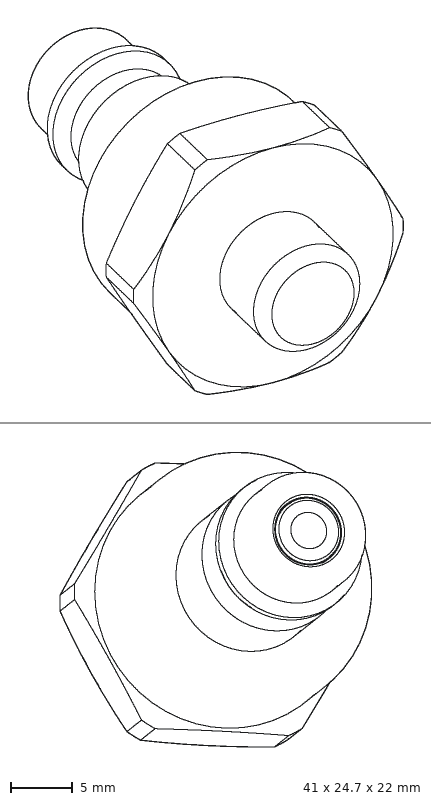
import cadquery as cq
import math


length = 41.0
rib_start_x = 5.0
rib_land_start_x = 6.0
rib_land_end_x = 7.0
neck_start_x = 8.0
neck_end_x = 10.4
barrel_start_x = 11.5
flange_start_x = 20.0
hex_start_x = 28.0
hex_end_x = 34.0

nose_diameter = 10.0
plug_diameter = 12.0
neck_diameter = 9.75
flange_diameter = 21.5
stub_diameter = 9.73

nose_fillet = 1.0
flange_fillet = 1.0
flange_face_tilt = 7.5
stub_chamfer = 1.1

hex_sides = 6
across_flats = 22.0
hex_corner_diameter = 24.68
hex_front_bevel = 15.0
hex_back_bevel = 30.0

bore_diameter = 5.6
bore_chamfer = 0.2
poppet_diameter = 5.45
poppet_face_diameter = 5.0
gap_depth = 1.0
dimple_diameter = 3.0
dimple_tip_angle = 120.0


def revolve_about_x(profile):
    """Revolve a closed (x, radius) profile a full turn about the X axis."""
    return profile.close().revolve(360, (0, 0, 0), (1, 0, 0))


def slope_rise(run, angle):
    """Rise of a straight slope of the given angle in degrees over a run."""
    return run * math.tan(math.radians(angle))


def make_turned_body():
    nose_r = nose_diameter / 2
    plug_r = plug_diameter / 2
    neck_r = neck_diameter / 2
    flange_r = flange_diameter / 2
    stub_r = stub_diameter / 2

    tilt = math.radians(flange_face_tilt)
    half_sweep = (math.pi / 2 - tilt) / 2
    fillet_center_r = flange_r - flange_fillet
    tangent_r = fillet_center_r + flange_fillet * math.sin(tilt)
    tangent_x = flange_start_x + (tangent_r - plug_r) * math.tan(tilt)
    fillet_center_x = tangent_x + flange_fillet * math.cos(tilt)
    fillet_middle = (
        fillet_center_x - flange_fillet * math.cos(tilt + half_sweep),
        fillet_center_r + flange_fillet * math.sin(tilt + half_sweep),
    )

    nose_inset = nose_fillet * (1 - math.sqrt(0.5))

    profile = (
        cq.Workplane("XY")
        .moveTo(0, 0)
        .lineTo(0, nose_r - nose_fillet)
        .threePointArc((nose_inset, nose_r - nose_inset), (nose_fillet, nose_r))
        .lineTo(rib_start_x, nose_r)
        .lineTo(rib_land_start_x, plug_r)
        .lineTo(rib_land_end_x, plug_r)
        .lineTo(neck_start_x, neck_r)
        .lineTo(neck_end_x, neck_r)
        .lineTo(barrel_start_x, plug_r)
        .lineTo(flange_start_x, plug_r)
        .lineTo(tangent_x, tangent_r)
        .threePointArc(fillet_middle, (fillet_center_x, flange_r))
        .lineTo(hex_start_x, flange_r)
        .lineTo(hex_start_x, stub_r)
        .lineTo(length - stub_chamfer, stub_r)
        .lineTo(length, stub_r - stub_chamfer)
        .lineTo(length, 0)
    )
    return revolve_about_x(profile)


def make_hexagon():
    """Hexagon with flats facing +Z and -Z, its corners turned down and bevelled."""
    corner_r = hex_corner_diameter / 2
    front_face_r = flange_diameter / 2
    back_face_r = across_flats / 2
    across_corners = across_flats / math.cos(math.pi / hex_sides)
    front_bevel_length = slope_rise(corner_r - front_face_r, hex_front_bevel)
    back_bevel_length = slope_rise(corner_r - back_face_r, hex_back_bevel)

    prism = (
        cq.Workplane("YZ", origin=(hex_start_x, 0, 0))
        .polygon(hex_sides, across_corners)
        .extrude(hex_end_x - hex_start_x)
    )
    envelope = revolve_about_x(
        cq.Workplane("XY")
        .moveTo(hex_start_x, 0)
        .lineTo(hex_start_x, front_face_r)
        .lineTo(hex_start_x + front_bevel_length, corner_r)
        .lineTo(hex_end_x - back_bevel_length, corner_r)
        .lineTo(hex_end_x, back_face_r)
        .lineTo(hex_end_x, 0)
    )
    return prism.intersect(envelope)


def make_valve_gap():
    """Annular gap between the chamfered bore and the chamfered poppet."""
    bore_r = bore_diameter / 2
    poppet_r = poppet_diameter / 2
    poppet_face_r = poppet_face_diameter / 2
    poppet_chamfer = poppet_r - poppet_face_r
    return revolve_about_x(
        cq.Workplane("XY")
        .moveTo(0, poppet_face_r)
        .lineTo(poppet_chamfer, poppet_r)
        .lineTo(gap_depth, poppet_r)
        .lineTo(gap_depth, bore_r)
        .lineTo(bore_chamfer, bore_r)
        .lineTo(0, bore_r + bore_chamfer)
    )


def make_poppet_dimple():
    """Conical dimple in the centre of the poppet face."""
    dimple_r = dimple_diameter / 2
    dimple_depth = dimple_r / math.tan(math.radians(dimple_tip_angle / 2))
    return revolve_about_x(
        cq.Workplane("XY")
        .moveTo(0, 0)
        .lineTo(0, dimple_r)
        .lineTo(dimple_depth, 0)
    )


body = make_turned_body().union(make_hexagon())
result = body.cut(make_valve_gap()).cut(make_poppet_dimple())